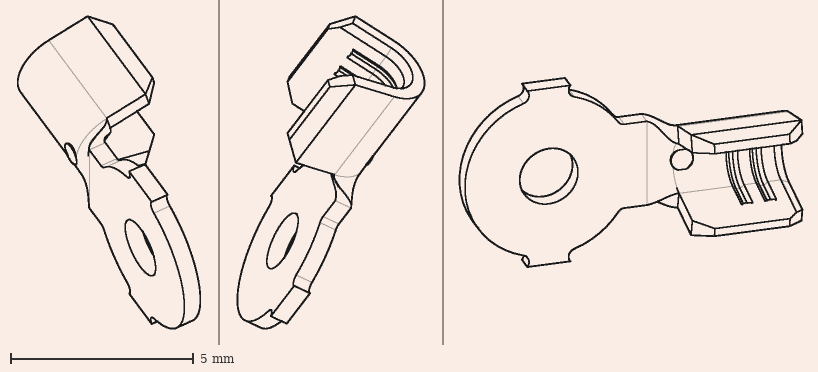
import cadquery as cq
import math

overall_length = 9.14
thickness = 0.508

ring_radius = 2.415
hole_radius = 0.835
tab_half_height = 2.665
tab_waist = 0.57
tab_fillet = 0.23
neck_half_height = 1.27
neck_start_x = -2.81
neck_fillet = 0.2

barrel_length = 3.175
barrel_depth = 2.79
barrel_radius = 1.27
wing_flare = math.radians(13)
tip_length = 0.47
tip_run = 0.508
tip_bevel = 0.24
mouth_bevel = 0.127
mouth_bevel_length = 0.25

groove_count = 2
groove_first_x = 0.79
groove_pitch = 0.68
groove_width = 0.33
groove_depth = 0.11
groove_reach = 0.83

stud_radius = 0.32
stud_height = 0.57
stud_inset = 0.26

transition_steps = 4

barrel_start_x = ring_radius - overall_length
barrel_end_x = barrel_start_x + barrel_length
flare_sin = math.sin(wing_flare)
flare_cos = math.cos(wing_flare)
inner_radius = barrel_radius - thickness
wing_length = (barrel_depth - barrel_radius + inner_radius * flare_sin) / flare_cos


def front_plane():
    """Work plane on the outer face (y = 0), extruding toward +Y, with local y along -Z."""
    return cq.Workplane(cq.Plane(origin=(0, 0, 0), xDir=(1, 0, 0), normal=(0, 1, 0)))


def section_plane(x):
    """Cross-section plane at x whose local axes are Y and Z."""
    return cq.Workplane(cq.Plane.YZ(origin=(x, 0, 0)))


def wing_point(along, radius, side=1):
    """(y, z) at a distance along a wing, on the surface tangent to an arc of this radius."""
    y = barrel_radius - radius * flare_sin + along * flare_cos
    z = radius * flare_cos + along * flare_sin
    return (y, side * z)


def make_tab_strip():
    """Plate across the ring carrying both locating tabs, with concave sides."""
    fillet_x = tab_waist + tab_fillet
    fillet_z = math.sqrt((ring_radius + tab_fillet) ** 2 - fillet_x ** 2)
    tangent_scale = ring_radius / (ring_radius + tab_fillet)
    strip_half_width = fillet_x * tangent_scale
    strip = front_plane().rect(2 * strip_half_width, 2 * tab_half_height).extrude(thickness)
    centres = [(sx * fillet_x, sz * fillet_z) for sx in (-1, 1) for sz in (-1, 1)]
    return strip.cut(front_plane().pushPoints(centres).circle(tab_fillet).extrude(thickness))


def make_ring_tongue():
    ring = front_plane().circle(ring_radius).extrude(thickness)
    neck = cq.Workplane("XY").box(
        -neck_start_x, thickness, 2 * neck_half_height, centered=(False, False, True)
    ).translate((neck_start_x, 0, 0))
    hole = front_plane().circle(hole_radius).extrude(thickness)
    corner_x = math.sqrt(ring_radius ** 2 - neck_half_height ** 2)
    tongue = ring.union(neck)
    for side in (-1, 1):
        corner = (-corner_x, thickness / 2, side * neck_half_height)
        tongue = tongue.edges(cq.NearestToPointSelector(corner)).fillet(neck_fillet)
    return tongue.union(make_tab_strip()).cut(hole)


def channel(x, radius, along):
    """U-shaped opening at x with the given bottom radius, reaching a distance up the wings."""
    return (
        section_plane(x)
        .moveTo(*wing_point(along, radius, -1))
        .lineTo(*wing_point(0, radius, -1))
        .threePointArc((barrel_radius - radius, 0), wing_point(0, radius))
        .lineTo(*wing_point(along, radius))
        .close()
    )


def make_barrel():
    tip_start = wing_length - tip_length
    bevelled_radius = barrel_radius - tip_bevel
    body = (
        section_plane(barrel_start_x)
        .moveTo(*wing_point(wing_length, inner_radius, -1))
        .lineTo(*wing_point(wing_length, bevelled_radius, -1))
        .lineTo(*wing_point(tip_start, barrel_radius, -1))
        .lineTo(*wing_point(0, barrel_radius, -1))
        .threePointArc((0, 0), wing_point(0, barrel_radius))
        .lineTo(*wing_point(tip_start, barrel_radius))
        .lineTo(*wing_point(wing_length, bevelled_radius))
        .lineTo(*wing_point(wing_length, inner_radius))
        .lineTo(*wing_point(0, inner_radius))
        .threePointArc((thickness, 0), wing_point(0, inner_radius, -1))
        .close()
        .extrude(barrel_length)
    )
    mouth_start = channel(barrel_start_x, inner_radius + mouth_bevel, wing_length)
    mouth_end = channel(barrel_start_x + mouth_bevel_length, inner_radius, wing_length)
    mouth = cq.Solid.makeLoft([mouth_start.val(), mouth_end.val()], True)
    body = body.cut(cq.Workplane(mouth))
    for index in range(groove_count):
        body = body.cut(make_groove(barrel_start_x + groove_first_x + index * groove_pitch))
    for side in (-1, 1):
        for end_x, inward in ((barrel_start_x, 1), (barrel_end_x, -1)):
            body = body.cut(wing_corner(side, end_x, inward))
    return body


def make_groove(middle_x):
    """Cutter for one serration: a channel that widens to its floor and narrows again."""
    half_width = groove_width / 2
    half_floor = half_width - groove_depth
    floor_radius = inner_radius + groove_depth
    sections = [
        channel(middle_x - half_width, inner_radius, groove_reach).val(),
        channel(middle_x - half_floor, floor_radius, groove_reach).val(),
        channel(middle_x + half_floor, floor_radius, groove_reach).val(),
        channel(middle_x + half_width, inner_radius, groove_reach).val(),
    ]
    return cq.Workplane(cq.Solid.makeLoft(sections, True))


def wing_corner(side, end_x, inward):
    """Triangular prism, square to the wing, that trims one corner of its tip."""
    y, z = wing_point(0, barrel_radius, side)
    plane = cq.Plane(
        origin=(end_x, y, z),
        xDir=(1, 0, 0),
        normal=(0, -flare_sin, side * flare_cos),
    )
    return (
        cq.Workplane(plane)
        .moveTo(0, side * (wing_length - tip_length))
        .lineTo(inward * tip_run, side * wing_length)
        .lineTo(0, side * wing_length)
        .close()
        .extrude(thickness, both=True)
    )


def transition_section(fraction):
    """Curved strip at a fraction of the way from the barrel end to the flat neck."""
    curve_share = 1 - fraction ** 2 * (3 - 2 * fraction)

    def edge_point(flat_y, radius):
        barrel_y, barrel_z = wing_point(0, radius)
        y = flat_y + (barrel_y - flat_y) * curve_share
        z = neck_half_height + (barrel_z - neck_half_height) * curve_share
        return y, z

    outer_y, outer_z = edge_point(0, barrel_radius)
    inner_y, inner_z = edge_point(thickness, inner_radius)
    x = barrel_end_x + fraction * (neck_start_x - barrel_end_x)
    section = section_plane(x).moveTo(outer_y, -outer_z)
    if fraction < 1:
        section = section.threePointArc((0, 0), (outer_y, outer_z)).lineTo(inner_y, inner_z)
        section = section.threePointArc((thickness, 0), (inner_y, -inner_z))
    else:
        section = section.lineTo(outer_y, outer_z).lineTo(inner_y, inner_z).lineTo(inner_y, -inner_z)
    return section.close().val()


def make_transition():
    sections = [transition_section(step / transition_steps) for step in range(transition_steps + 1)]
    return cq.Workplane(cq.Solid.makeLoft(sections))


def make_stud():
    stud_x = barrel_end_x - stud_inset
    return front_plane().center(stud_x, 0).circle(stud_radius).extrude(stud_height)


result = make_ring_tongue().union(make_transition()).union(make_barrel()).union(make_stud())